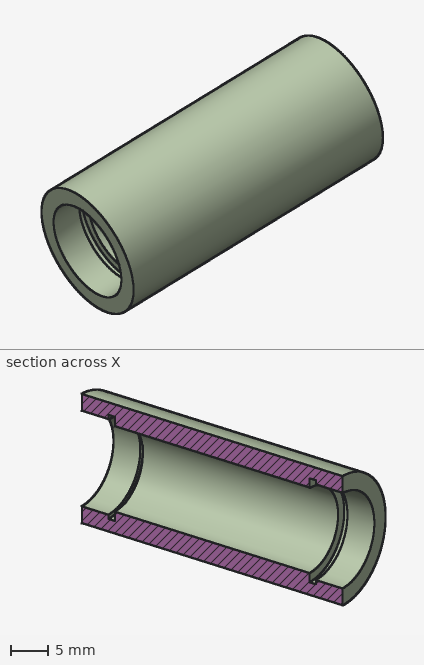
import cadquery as cq

length = 43.6
outer_diameter = 19.05
bore_diameter = 12.5
counterbore_diameter = 14.0
counterbore_depth = 4.5
groove_diameter = 15.2
groove_width = 1.0


def cylinder_along_y(diameter, start_y, height):
    """Cylinder on the Y axis, running from start_y towards +Y."""
    plane = cq.Plane(origin=(0, start_y, 0), xDir=(1, 0, 0), normal=(0, 1, 0))
    return cq.Workplane(plane).circle(diameter / 2).extrude(height)


front_y = -length / 2
back_y = length / 2

sleeve = cylinder_along_y(outer_diameter, front_y, length)
sleeve = sleeve.cut(cylinder_along_y(bore_diameter, front_y, length))

for start_y in (front_y, back_y - counterbore_depth):
    sleeve = sleeve.cut(cylinder_along_y(counterbore_diameter, start_y, counterbore_depth))

for start_y in (front_y + counterbore_depth, back_y - counterbore_depth - groove_width):
    sleeve = sleeve.cut(cylinder_along_y(groove_diameter, start_y, groove_width))

result = sleeve